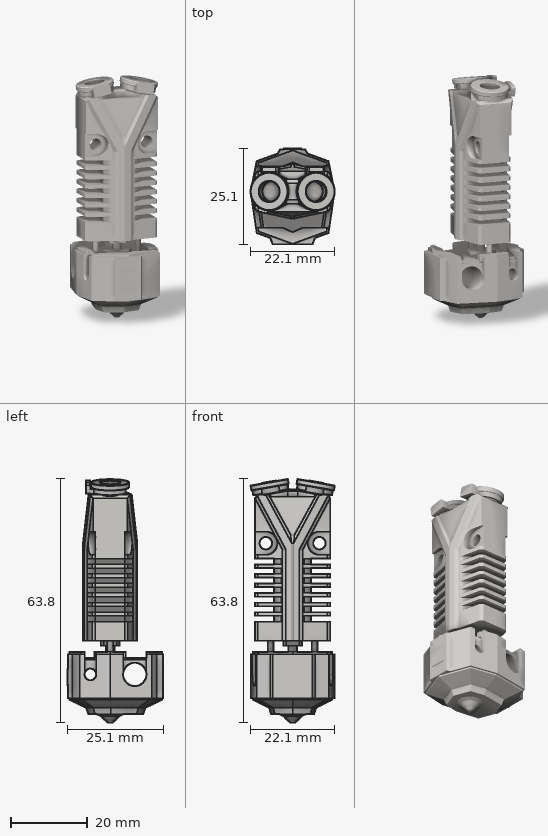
import cadquery as cq
import math


BIG = 60.0

SINK_HALF_X = 9.85
SINK_BOTTOM = 21.5
FACE_SLOPE = math.tan(math.radians(12))
SLAB_RIDGE_Y = 6.57
CORNER_X = 9.1
CORNER_Y = 3.85

STEM_HALF = 2.65
STEM_FLAT = 0.2
RIB_RIDGE_Y = 7.18
RIB_BEVEL = 0.9
ARM_LEAN = 0.533
ARM_START_Z = 45.3

FIN_PITCH = 2.5
FIN_GAP = 1.5
GAP_COUNT = 7
FIRST_GAP_Z = 26.5
CORE_HALF_X = 4.87
CORE_FACE_X = 3.0

SCREW_X = 7.0
SCREW_Z = 47.0
SCREW_D = 3.2
SEAT_D = 6.05

ROOF_PEAK_Z = 60.95
ROOF_END_Z = 58.8
ROOF_CHAMFER = 0.85
SADDLE_TOP_Z = 61.05
SADDLE_HALF_X = 1.65
SADDLE_HALF_Y = 3.2
SADDLE_CHAMFER_Y = 1.1
SADDLE_CHAMFER_Z = 0.4
SHELF_Z = 59.15
SHELF_WALL_X = 1.3
WALL_END = (5.9, 5.36)

WINDOW_LOW = (49.2, 6.42)
WINDOW_TOP = (SHELF_Z, 5.34)
WINDOW_HALF_LOW = 0.5
WINDOW_HALF_TOP = 5.97
WINDOW_WALL_RUN = 1.73
WINDOW_DEPTH = 1.0
WINDOW_FOOT_RUN = 4.6
WINDOW_POINT = 0.02

TILT = 10.0
COLLAR_D = 10.0
COLLAR_X = 6.142
COLLAR_TOP = 62.958
COLLAR_EDGE = 0.15
FLANGE_T = 1.4
CLIP_T = 1.25
CLIP_D = 9.4
CLIP_MOUTH = 4.6
NECK_D = 7.9
NECK_LENGTH = 3.0
BORE_D = 5.3
BORE_DEPTH = 5.0
CLIP_BACK_Y = 6.35
CLIP_PLATE_Y = 4.25
CLIP_PLATE_W = 4.7
TAB_T = 1.15
TAB_W = CLIP_PLATE_W
TAB_RISE = 0.15
TAB_CHAMFER = 0.5

PIN_X = 5.77
PIN_D = 1.55
BREAK_D = 2.4
FOOT_WIDTH = 5.0
FOOT_CHAMFER = 0.8
FOOT_T = 1.35

BLOCK_TOP = 18.6
RIM_BASE = 18.0
BLOCK_BASE = 6.5
BLOCK_STEP = 0.57
BASE_STEP_Z = 6.13
CONE_BASE = 3.98
CONE_INSET = 4.75
FLOOR_Z = 2.3
FLOOR_INSET = 5.3
SIDE_PEAK_X = 11.0
SIDE_X = 9.4
BACK_Y = 7.93
FRONT_Y = -10.87
NOSE_SLOPE = 0.364
FRONT_PAD_Y = -13.85
FRONT_PAD_BASE = (5.9, -12.07)
FRONT_PAD_HALF = 5.2
BACK_PAD_Y = 11.04
BACK_PAD_BASE = (3.9, 9.9)
BACK_PAD_HALF = 3.27
EMBOSS = (4.6, 0.2, 4.15)
EMBOSS_Z = 12.0

DECK_Z = 17.05
DECK_FRONT, DECK_FRONT_TIP = -9.5, -10.6
DECK_BACK, DECK_BACK_TIP = 6.58, 7.6
DECK_TIP_HALF = 2.65
BOSS_FLATS = 7.2
BOSS_BEVEL = 0.55
BOSS_TOP = 18.2
RIM_INNER_X = 7.6
RIM_HALF_Y = 4.12
CROSS_Z = 12.7
HEATER_Y, HEATER_D = -6.44, 6.05
SENSOR_Y, SENSOR_D = 5.17, 3.0
SLOT_DEPTH = 1.4

NOZZLE_PROFILE = [(3.5, FLOOR_Z), (2.4, 1.8), (1.55, 0.9), (1.4, 0.8), (0.55, 0.0)]
NOZZLE_BORE_D = 0.4
NOZZLE_BORE_DEPTH = 0.6


def mirrored(quarter):
    """Close a quarter outline, listed from +X round to +Y, into a full loop."""
    half = quarter + [(-x, y) for x, y in reversed(quarter) if x > 0]
    return half + [(-x, -y) for x, y in half]


def prism(points, z0, z1):
    return cq.Workplane("XY").workplane(offset=z0).polyline(points).close().extrude(z1 - z0)


def slab_y(x):
    return SLAB_RIDGE_Y - FACE_SLOPE * x


def rib_y(x):
    return RIB_RIDGE_Y - FACE_SLOPE * x


def slab():
    """Main body with sloped faces, its corners chamfered below the screws."""
    outline = mirrored([(SINK_HALF_X, slab_y(SINK_HALF_X)), (0, slab_y(0))])
    body = prism(outline, SINK_BOTTOM, SADDLE_TOP_Z)
    corner = [(SINK_HALF_X, CORNER_Y), (SINK_HALF_X, slab_y(CORNER_X)), (CORNER_X, slab_y(CORNER_X))]
    for side in (-1, 1):
        for face in (-1, 1):
            points = [(side * x, face * y) for x, y in corner]
            body = body.cut(prism(points, SINK_BOTTOM, SCREW_Z))
    return body


def stem(z1):
    bevel_x = STEM_HALF - RIB_BEVEL
    section = [
        (STEM_HALF, slab_y(STEM_HALF)),
        (bevel_x, rib_y(bevel_x)),
        (STEM_FLAT, rib_y(STEM_FLAT)),
    ]
    return prism(mirrored(section), SINK_BOTTOM, z1)


def arm():
    """The arm on the +X front side, a prism that leans out along the sloped face."""
    inner = -SINK_HALF_X
    bevel_x = STEM_HALF - RIB_BEVEL
    section = [
        (STEM_HALF, 0),
        (STEM_HALF, -slab_y(STEM_HALF)),
        (bevel_x, -rib_y(bevel_x)),
        (inner, -rib_y(inner)),
        (inner, 0),
    ]
    rise = SADDLE_TOP_Z - ARM_START_Z
    wire = cq.Wire.makePolygon([cq.Vector(x, y, ARM_START_Z) for x, y in section], close=True)
    run = ARM_LEAN * rise
    return cq.Workplane(cq.Solid.extrudeLinear(wire, [], cq.Vector(run, FACE_SLOPE * run, rise)))


def ribs():
    """Stem and arms of the Y on both faces, kept under the sloped rib faces."""
    right_half = cq.Workplane("XY").box(BIG, BIG, 2 * BIG, centered=(False, True, True))
    right_arm = arm().intersect(right_half)
    front = right_arm.union(right_arm.mirror("YZ"))
    both = front.union(front.mirror("XZ"))
    quarter = [(SINK_HALF_X, rib_y(SINK_HALF_X)), (STEM_FLAT, rib_y(STEM_FLAT))]
    cover = prism(mirrored(quarter), SINK_BOTTOM, SADDLE_TOP_Z)
    return stem(ARM_START_Z + 1).union(both.intersect(cover))


def window():
    """Cutter for the sunken triangle between the arms of the front Y."""
    (z_low, y_low), (z_top, y_top) = WINDOW_LOW, WINDOW_TOP
    length = math.hypot(z_top - z_low, y_low - y_top)
    lean = (WINDOW_HALF_TOP - WINDOW_HALF_LOW) / length
    spread = WINDOW_WALL_RUN * math.hypot(1, lean)
    plane = cq.Plane(
        origin=(0, -y_low, z_low),
        xDir=(1, 0, 0),
        normal=(0, z_low - z_top, y_low - y_top),
    )
    top = length + 1.0

    def outline(work, depth):
        low = -WINDOW_FOOT_RUN * depth
        half_low = max(WINDOW_HALF_LOW + spread * depth + lean * low, WINDOW_POINT)
        half_top = WINDOW_HALF_LOW + spread * depth + lean * top
        corners = [(-half_low, low), (half_low, low), (half_top, top), (-half_top, top)]
        return work.polyline(corners).close()

    base = outline(cq.Workplane(plane), 0)
    walls = outline(base.workplane(offset=WINDOW_DEPTH), WINDOW_DEPTH).loft(ruled=True)
    mouth = outline(cq.Workplane(plane).workplane(offset=WINDOW_DEPTH), WINDOW_DEPTH).extrude(SINK_HALF_X)
    return walls.union(mouth)


def shelf():
    """Cutter that leaves a flat shelf in front of the roof wall."""
    wall_x, wall_y = WALL_END
    reach = SINK_HALF_X - wall_x
    right = [(SHELF_WALL_X, -SADDLE_HALF_Y), (wall_x, -wall_y), (wall_x + reach, -wall_y - reach)]
    left = [(-x, y) for x, y in reversed(right)]
    return prism(left + right, SHELF_Z, SADDLE_TOP_Z + 1)


def roof_outline():
    """Everything under the two tilted roofs, their flat ledges and chamfered ends."""
    slope = math.tan(math.radians(TILT))
    ledge_z = ROOF_END_Z + ROOF_CHAMFER
    half = [
        (SINK_HALF_X, SINK_BOTTOM),
        (SINK_HALF_X, ROOF_END_Z),
        (SINK_HALF_X - ROOF_CHAMFER, ledge_z),
        ((ROOF_PEAK_Z - ledge_z) / slope, ledge_z),
    ]
    points = half + [(0, ROOF_PEAK_Z)] + [(-x, z) for x, z in reversed(half)]
    return cq.Workplane("XZ").polyline(points).close().extrude(BIG / 2, both=True)


def saddle_gap():
    """Room cleared in the roof ridge for the saddle."""
    depth = 2 * SADDLE_HALF_Y
    height = SADDLE_TOP_Z - SHELF_Z
    return cq.Workplane("XY", origin=(0, 0, SHELF_Z)).rect(2 * SADDLE_HALF_X, depth).extrude(height)


def saddle():
    """Raised bridge between the two collars."""
    flat_y = SADDLE_HALF_Y - SADDLE_CHAMFER_Y
    side_z = SADDLE_TOP_Z - SADDLE_CHAMFER_Z
    half = [(SADDLE_HALF_Y, SHELF_Z), (SADDLE_HALF_Y, side_z), (flat_y, SADDLE_TOP_Z)]
    points = half + [(-y, z) for y, z in reversed(half)]
    return cq.Workplane("YZ").polyline(points).close().extrude(SADDLE_HALF_X, both=True)


def fin_gaps():
    """Cutters for the gaps between the fins, leaving the core and the stem."""
    core = mirrored([(CORE_HALF_X, CORNER_Y), (CORE_FACE_X, slab_y(CORE_FACE_X)), (CORE_FACE_X, BIG)])
    top = FIRST_GAP_Z + GAP_COUNT * FIN_PITCH
    block = cq.Workplane("XY").box(BIG, BIG / 2, top, centered=(True, True, False))
    around_core = block.cut(prism(core, 0, top))
    gaps = cq.Workplane("XY")
    for i in range(GAP_COUNT):
        z = FIRST_GAP_Z + i * FIN_PITCH
        layer = cq.Workplane("XY").workplane(offset=z).rect(BIG, BIG).extrude(FIN_GAP)
        gaps = gaps.add(around_core.intersect(layer))
    return gaps


def screw_cuts():
    """Through holes and the open-sided seats on both faces."""
    cuts = cq.Workplane("XY")
    inner_x = SCREW_X - SEAT_D / 2
    outer_x = SINK_HALF_X + 1
    seat_top = SCREW_Z + SEAT_D / 2
    seat_bottom = SCREW_Z - SEAT_D / 2
    for side in (-1, 1):
        center = cq.Workplane("XZ").center(side * SCREW_X, SCREW_Z)
        cuts = cuts.add(center.circle(SCREW_D / 2).extrude(BIG / 2, both=True))
        for face in (-1, 1):
            seat = (
                cq.Workplane("XZ", origin=(0, face * CORNER_Y, 0))
                .moveTo(side * outer_x, seat_top)
                .lineTo(side * SCREW_X, seat_top)
                .threePointArc((side * inner_x, SCREW_Z), (side * SCREW_X, seat_bottom))
                .lineTo(side * outer_x, seat_bottom)
                .close()
                .extrude(-face * SINK_HALF_X)
            )
            cuts = cuts.add(seat)
    return cuts


def collar_plane(side):
    lean = math.radians(TILT)
    return cq.Plane(
        origin=(side * COLLAR_X, 0, COLLAR_TOP),
        xDir=(math.cos(lean), 0, -side * math.sin(lean)),
        normal=(side * math.sin(lean), 0, math.cos(lean)),
    )


def collar(side):
    """Flanged collar with its C-shaped clip; the local Z axis is the tube axis."""
    clip_bottom = -FLANGE_T - CLIP_T

    def at(z, x=0, y=0):
        return cq.Workplane(collar_plane(side)).workplane(offset=z).center(x, y)

    flange = at(0).circle(COLLAR_D / 2).extrude(-FLANGE_T).edges().chamfer(COLLAR_EDGE)
    neck = at(0).circle(NECK_D / 2).extrude(-NECK_LENGTH)
    ring = at(clip_bottom).circle(CLIP_D / 2).extrude(CLIP_T)
    mouth = at(clip_bottom, 0, -CLIP_D / 2).rect(CLIP_MOUTH, CLIP_D).extrude(CLIP_T)
    plate_depth = CLIP_BACK_Y - CLIP_PLATE_Y
    plate_center = at(clip_bottom, 0, CLIP_BACK_Y - plate_depth / 2)
    plate = plate_center.rect(CLIP_PLATE_W, plate_depth).extrude(CLIP_T)
    tab = (
        at(clip_bottom, 0, CLIP_BACK_Y - TAB_T / 2)
        .rect(TAB_W, TAB_T)
        .extrude(TAB_RISE - clip_bottom)
        .faces(cq.selectors.DirectionNthSelector(collar_plane(side).zDir, -1))
        .edges(cq.selectors.ParallelDirSelector(cq.Vector(0, 1, 0)))
        .chamfer(TAB_CHAMFER)
    )
    return flange.union(ring.cut(mouth)).union(neck).union(plate).union(tab)


def collar_bore(side):
    """Blind tube bore with a chamfered mouth."""
    plane = collar_plane(side)
    bore = cq.Workplane(plane).circle(BORE_D / 2).extrude(-BORE_DEPTH)
    lead_in = (
        cq.Workplane(plane)
        .circle(BORE_D / 2 + COLLAR_EDGE)
        .workplane(offset=-COLLAR_EDGE)
        .circle(BORE_D / 2)
        .loft()
    )
    return bore.union(lead_in)


def sink_bottom():
    """Heat break with its square foot, and the two support pins, resting on the block."""
    base = cq.Workplane("XY", origin=(0, 0, SINK_BOTTOM))
    foot = base.rect(FOOT_WIDTH, FOOT_WIDTH).extrude(-FOOT_T).edges("|Z").chamfer(FOOT_CHAMFER)
    pin_centers = [(-PIN_X, 0), (PIN_X, 0)]
    pins = (
        cq.Workplane("XY", origin=(0, 0, SINK_BOTTOM))
        .pushPoints(pin_centers)
        .circle(PIN_D / 2)
        .extrude(DECK_Z - SINK_BOTTOM)
    )
    heat_break = (
        cq.Workplane("XY", origin=(0, 0, SINK_BOTTOM))
        .circle(BREAK_D / 2)
        .extrude(BOSS_TOP - SINK_BOTTOM)
    )
    return foot.union(heat_break).union(pins)


def make_heat_sink():
    body = slab()
    for cutter in screw_cuts().vals():
        body = body.cut(cq.Workplane(cutter))
    body = body.union(ribs())
    for cutter in (window(), shelf()):
        body = body.cut(cutter).cut(cutter.mirror("XZ"))
    body = body.intersect(roof_outline()).cut(saddle_gap()).union(saddle())
    for cutter in fin_gaps().vals():
        body = body.cut(cq.Workplane(cutter))
    for side in (-1, 1):
        body = body.union(collar(side))
    for side in (-1, 1):
        body = body.cut(collar_bore(side))
    return body.union(sink_bottom())


def block_loop(inset):
    """Eight-sided block outline moved inward by a distance, still sharp at its corners."""
    outer = [
        (SIDE_PEAK_X, 0),
        (SIDE_X, BACK_Y),
        (0, BACK_Y + NOSE_SLOPE * SIDE_X),
        (-SIDE_X, BACK_Y),
        (-SIDE_PEAK_X, 0),
        (-SIDE_X, FRONT_Y),
        (0, FRONT_Y - NOSE_SLOPE * SIDE_X),
        (SIDE_X, FRONT_Y),
    ]
    count = len(outer)
    normals = []
    for i in range(count):
        (x0, y0), (x1, y1) = outer[i], outer[(i + 1) % count]
        length = math.hypot(x1 - x0, y1 - y0)
        normals.append(((y1 - y0) / length, (x0 - x1) / length))
    moved = []
    for i in range(count):
        (ax, ay), (bx, by) = normals[i - 1], normals[i]
        pull = inset / (1 + ax * bx + ay * by)
        moved.append((outer[i][0] - pull * (ax + bx), outer[i][1] - pull * (ay + by)))
    return moved


def block_layer(z0, inset0, z1, inset1):
    lower = cq.Workplane("XY").workplane(offset=z0).polyline(block_loop(inset0)).close()
    return lower.workplane(offset=z1 - z0).polyline(block_loop(inset1)).close().loft(ruled=True)


def block_shell():
    """Full-width block around a narrower core that tapers towards the nozzle."""
    levels = [
        (FLOOR_Z, FLOOR_INSET),
        (CONE_BASE, CONE_INSET),
        (BASE_STEP_Z, BLOCK_STEP),
        (BLOCK_TOP, BLOCK_STEP),
    ]
    body = block_layer(BLOCK_BASE, 0, RIM_BASE, 0)
    for lower, upper in zip(levels, levels[1:]):
        body = body.union(block_layer(*lower, *upper))
    return body


def pads():
    """Flat pads on the front and back noses."""
    front = [(FRONT_PAD_BASE[0], FRONT_Y), FRONT_PAD_BASE, (FRONT_PAD_HALF, FRONT_PAD_Y)]
    back = [(BACK_PAD_BASE[0], BACK_Y), BACK_PAD_BASE, (BACK_PAD_HALF, BACK_PAD_Y)]
    pair = cq.Workplane("XY")
    for half in (front, back):
        points = half + [(-x, y) for x, y in reversed(half)]
        pair = pair.union(prism(points, BLOCK_BASE, RIM_BASE))
    return pair


def deck():
    """Cutter for the sunken deck, leaving the two side rims and the front and back rims."""

    def edge(y, tip):
        return [(-BIG, y), (-DECK_TIP_HALF, y), (0, tip), (DECK_TIP_HALF, y), (BIG, y)]

    points = edge(DECK_FRONT, DECK_FRONT_TIP) + edge(DECK_BACK, DECK_BACK_TIP)[::-1]
    open_area = prism(points, DECK_Z, BLOCK_TOP + 1)
    for side in (-1, 1):
        rim = (
            cq.Workplane("XY", origin=(side * (RIM_INNER_X + BIG / 2), 0, DECK_Z))
            .rect(BIG, 2 * RIM_HALF_Y)
            .extrude(BLOCK_TOP)
        )
        open_area = open_area.cut(rim)
    return open_area


def boss():
    """Hexagonal boss with trimmed corners under the heat break."""
    across_corners = BOSS_FLATS / math.cos(math.radians(30))
    base = cq.Workplane("XY", origin=(0, 0, DECK_Z))
    return base.polygon(6, across_corners).extrude(BOSS_TOP - DECK_Z).edges("|Z").chamfer(BOSS_BEVEL)


def side_slot(y, diameter):
    """Slot from a cross hole up to the rim, as deep as the sunken side faces."""
    height = BLOCK_TOP + 1 - CROSS_Z
    base = cq.Workplane("YZ").center(y, CROSS_Z)
    tool = base.circle(diameter / 2).extrude(BIG / 2, both=True)
    tool = tool.union(base.center(0, height / 2).rect(diameter, height).extrude(BIG / 2, both=True))
    step_z = DECK_Z - BLOCK_STEP
    upper_inset = SLOT_DEPTH + BLOCK_STEP
    tool = tool.cut(block_layer(FLOOR_Z, SLOT_DEPTH, step_z, SLOT_DEPTH))
    tool = tool.cut(block_layer(step_z, upper_inset, DECK_Z, upper_inset))
    return tool.cut(block_layer(DECK_Z, SLOT_DEPTH, BLOCK_TOP + 1, SLOT_DEPTH))


def nozzle():
    points = [(0, CONE_BASE), (NOZZLE_PROFILE[0][0], CONE_BASE)] + NOZZLE_PROFILE + [(0, 0)]
    return cq.Workplane("XZ").polyline(points).close().revolve(360, (0, 0, 0), (0, 1, 0))


def make_heater_block():
    body = block_shell().union(pads())
    depth = BACK_PAD_Y - FRONT_PAD_Y
    trim = cq.Workplane("XY").box(BIG, depth, BIG).translate((0, FRONT_PAD_Y + depth / 2, 0))
    body = body.intersect(trim).cut(deck()).union(boss())
    emboss = cq.Workplane("XY").box(*EMBOSS).translate((0, BACK_PAD_Y + EMBOSS[1] / 2, EMBOSS_Z))
    body = body.union(emboss)
    for y, diameter in ((HEATER_Y, HEATER_D), (SENSOR_Y, SENSOR_D)):
        body = body.cut(side_slot(y, diameter))
        cross_hole = cq.Workplane("YZ").center(y, CROSS_Z).circle(diameter / 2)
        body = body.cut(cross_hole.extrude(BIG / 2, both=True))
    tip = cq.Workplane("XY").circle(NOZZLE_BORE_D / 2).extrude(NOZZLE_BORE_DEPTH)
    return body.union(nozzle()).cut(tip)


heat_sink = make_heat_sink()
heater_block = make_heater_block()
result = cq.Compound.makeCompound([heat_sink.val(), heater_block.val()])